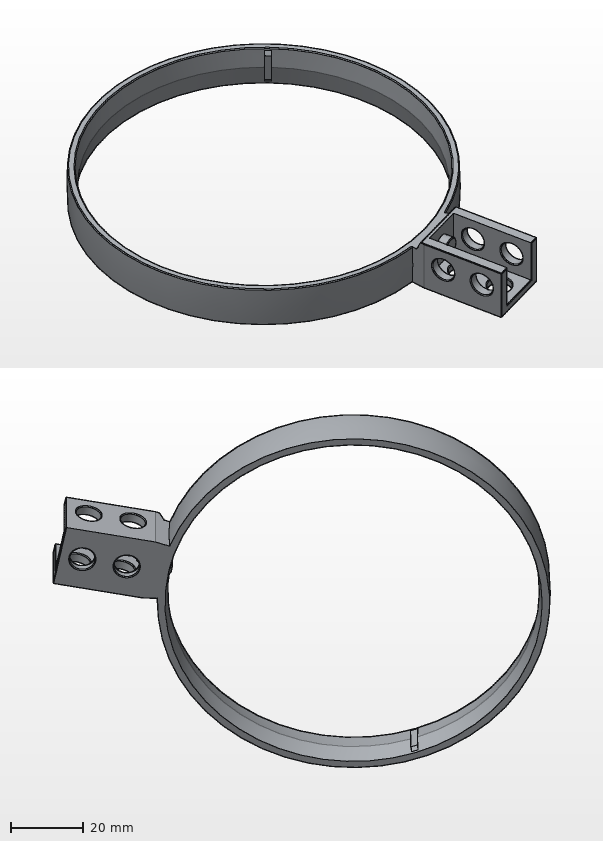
import cadquery as cq

band_height = 12.5
band_mid = band_height / 2
band_diameter = 109.0
outer_radius = band_diameter / 2
outer_edge_radius = 54.3
inner_edge_radius = 52.2
ridge_radius = 51.4
rim_chamfer = 0.3

rib_count = 3
rib_width = 1.9
rib_radius = 51.3
rib_bottom = 0.7
rib_top = band_height - rib_bottom
rib_bevel = 1.4

total_length = 137.5
bracket_end = total_length - outer_radius
bracket_height = 15.7
bracket_width = 18.8
side_wall = 3.0
floor_thickness = 2.5
channel_start = 57.8
back_top = 56.6
back_foot = 55.1
edge_chamfer = 0.2

neck_start = 53.1
neck_width = 17.5

hole_diameter = 7.0
hole_count = 2
hole_pitch = 12.5
hole_end_distance = 6.5
hole_rim_chamfer = 0.3
hole_height = 9.1
hole_places = [bracket_end - hole_end_distance - i * hole_pitch for i in range(hole_count)]

stud_diameter = 6.0
stud_length = 3.0
stud_chamfer = 0.3


def make_band():
    profile = (
        cq.Workplane("XZ")
        .moveTo(outer_edge_radius, 0)
        .threePointArc((outer_radius, band_mid), (outer_edge_radius, band_height))
        .lineTo(inner_edge_radius, band_height)
        .lineTo(ridge_radius, band_mid)
        .lineTo(inner_edge_radius, 0)
        .close()
    )
    return profile.revolve(360, (0, 0), (0, 1)).faces(">Z").chamfer(rim_chamfer)


def make_rib(angle):
    root_radius = (inner_edge_radius + outer_edge_radius) / 2
    profile = (
        cq.Workplane("XZ", origin=(0, rib_width / 2, 0))
        .moveTo(root_radius, rib_bottom)
        .lineTo(inner_edge_radius, rib_bottom)
        .lineTo(rib_radius, rib_bottom + rib_bevel)
        .lineTo(rib_radius, rib_top - rib_bevel)
        .lineTo(inner_edge_radius, rib_top)
        .lineTo(root_radius, rib_top)
        .close()
    )
    return profile.extrude(rib_width).rotate((0, 0, 0), (0, 0, 1), angle)


def make_bracket():
    side = (
        cq.Workplane("XZ", origin=(0, bracket_width / 2, 0))
        .moveTo(neck_start, 0)
        .lineTo(bracket_end, 0)
        .lineTo(bracket_end, bracket_height)
        .lineTo(back_top, bracket_height)
        .lineTo(back_foot, band_height)
        .lineTo(neck_start, band_height)
        .close()
        .extrude(bracket_width)
    )
    plan = (
        cq.Workplane("XY")
        .moveTo(neck_start, -neck_width / 2)
        .lineTo(channel_start, -bracket_width / 2)
        .lineTo(bracket_end, -bracket_width / 2)
        .lineTo(bracket_end, bracket_width / 2)
        .lineTo(channel_start, bracket_width / 2)
        .lineTo(neck_start, neck_width / 2)
        .close()
        .extrude(bracket_height)
    )
    bracket = side.intersect(plan).faces(">Z").edges("not >X").chamfer(edge_chamfer)
    channel = cq.Workplane("XY").box(
        bracket_end - channel_start,
        bracket_width - 2 * side_wall,
        bracket_height - floor_thickness,
        centered=(False, True, False),
    )
    bracket = bracket.cut(channel.translate((channel_start, 0, floor_thickness)))
    return bracket.faces(">X").edges().chamfer(edge_chamfer)


def make_hole(start, direction, depth):
    """A straight hole that is chamfered at both of its ends."""
    bore = cq.Solid.makeCylinder(hole_diameter / 2, depth, start, direction)
    rim_radius = hole_diameter / 2 + hole_rim_chamfer
    near_rim = cq.Solid.makeCone(
        rim_radius, hole_diameter / 2, hole_rim_chamfer, start, direction
    )
    far_rim = cq.Solid.makeCone(
        rim_radius, hole_diameter / 2, hole_rim_chamfer, start + direction * depth, -direction
    )
    return bore.fuse(near_rim, far_rim)


def cut_holes(body):
    for x in hole_places:
        body = body.cut(make_hole(cq.Vector(x, 0, 0), cq.Vector(0, 0, 1), floor_thickness))
        for face_y in (-bracket_width / 2, bracket_width / 2 - side_wall):
            start = cq.Vector(x, face_y, hole_height)
            body = body.cut(make_hole(start, cq.Vector(0, 1, 0), side_wall))
    return body


def make_stud():
    stud = (
        cq.Workplane("YZ", origin=(channel_start, 0, hole_height))
        .circle(stud_diameter / 2)
        .extrude(stud_length)
    )
    return stud.faces(">X").chamfer(stud_chamfer)


result = make_band().union(cut_holes(make_bracket())).union(make_stud())
for i in range(rib_count):
    result = result.union(make_rib(i * 360 / rib_count))